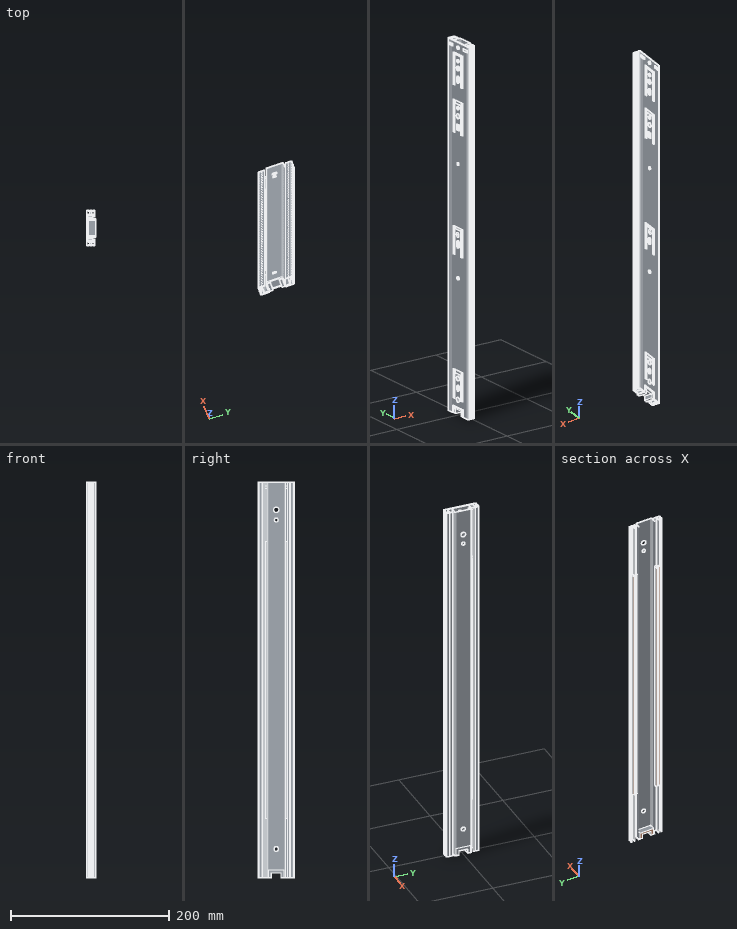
import cadquery as cq
import math

LENGTH = 500.0
DEPTH = 12.5
HEIGHT = 45.5
SHEET = 1.0
Z_TOP = LENGTH / 2
Z_BOTTOM = -LENGTH / 2
CLEARANCE = 0.25

OUTER_DEPTH = 11.0
OUTER_LIP_OPENING = 28.0
OUTER_BEND = 1.75
CREST_SPAN = 3.0
WAVE_DEPTH = 1.0
OUTER_BACK = -DEPTH / 2
OUTER_FRONT = OUTER_BACK + OUTER_DEPTH
OUTER_WEB_INSIDE = OUTER_BACK + SHEET
OUTER_FLANGE_INSIDE = HEIGHT / 2 - SHEET
OUTER_MIDDLE_X = OUTER_BACK + OUTER_DEPTH / 2

MIDDLE_HEIGHT = 36.0
MIDDLE_BEND = 1.75
MIDDLE_BACK = OUTER_WEB_INSIDE + CLEARANCE
MIDDLE_FRONT = OUTER_FRONT - SHEET - CLEARANCE
MIDDLE_WEB_INSIDE = MIDDLE_BACK + SHEET
MIDDLE_FLANGE_INSIDE = MIDDLE_HEIGHT / 2 - SHEET

INNER_HEIGHT = 24.0
INNER_BEND = 1.75
INNER_FRONT = DEPTH / 2
INNER_WEB_INSIDE = INNER_FRONT - SHEET
INNER_BACK = -2.0
INNER_FLANGE_INSIDE = INNER_HEIGHT / 2 - SHEET

CAGE_LENGTH = 350.0
OUTER_CAGE_WIDTH = 3.0
INNER_CAGE_SHEET = 0.5
INNER_CAGE_FRONT = 2.0
INNER_CAGE_GAP = 1.5

ROUND_HOLES = [
    (243.0, 4.5),
    (225.0, 4.5),
    (215.0, 6.5),
    (162.0, 4.5),
    (151.0, 6.5),
    (87.0, 4.0),
    (-66.5, 4.5),
    (-201.0, 6.5),
    (-229.5, 6.5),
]
SLOTS = [
    (200.0, 9.5, 4.5),
    (-21.0, 10.0, 4.5),
    (-214.0, 8.0, 4.5),
]
COUNTERSINK_Z = -8.0
COUNTERSINK_DIAMETER = 6.5
COUNTERSINK_HOLE = 3.0
COUNTERSINK_ANGLE = 120
SQUARE_HOLE_Z = 136.0
SQUARE_HOLE_LENGTH = 8.0
SQUARE_HOLE_WIDTH = 4.5
LANCES = [
    (234.5, 191.0, 2.0),
    (171.0, 127.5, 4.0),
    (1.5, -36.5, 3.0),
    (-190.5, -229.5, 4.5),
]
LANCE_WIDTH = 20.0
LANCE_SLIT = 1.5
LANCE_RIM = 2.0
LANCE_RIM_DEPTH = 0.5

THROUGH_HOLES = [(215.0, 6.5), (202.0, 4.5), (-213.5, 5.5)]

CORNER_Z = 243.5
CORNER_HEIGHT = 3.0
CORNER_INNER_Y = 11.5
CORNER_OUTER_Y = 20.0

NOTCH_WIDTH = 2 * INNER_FLANGE_INSIDE
NOTCH_DEPTH = 10.0
BUMPER_CLEARANCE = 1.0
BUMPER_GAP_WIDTH = 12.0
BUMPER_GAP_DEPTH = 6.0
BUMPER_LEAD_IN_WIDTH = 15.0
BUMPER_LEAD_IN_DEPTH = 1.5
BUMPER_LEAD_IN_HEIGHT = 3.0


def box(x0, x1, y0, y1, z0, z1):
    """A block given by its limits along each axis."""
    return cq.Workplane("XY").box(x1 - x0, y1 - y0, z1 - z0, centered=False).translate((x0, y0, z0))


def channel(web_x, lip_x, height, bend):
    """A full-length C-channel: web at web_x with rounded bends, flanges ending at lip_x."""
    toward_lip = 1 if lip_x > web_x else -1
    body = box(min(web_x, lip_x), max(web_x, lip_x), -height / 2, height / 2, Z_BOTTOM, Z_TOP)
    web_face = "<X" if toward_lip > 0 else ">X"
    body = body.faces(web_face).edges("|Z").fillet(bend)
    cavity_x = sorted((web_x + toward_lip * SHEET, lip_x))
    cavity = box(*cavity_x, SHEET - height / 2, height / 2 - SHEET, Z_BOTTOM, Z_TOP)
    cavity = cavity.faces(web_face).edges("|Z").fillet(bend - SHEET)
    return body.cut(cavity)


def web_hole(z, diameter):
    """A round cutter along X, long enough to pass through every web."""
    return cq.Workplane("YZ").center(0, z).circle(diameter / 2).extrude(DEPTH, both=True)


def web_slot(z, length, width):
    """A round-ended cutter along X, its length along Z."""
    return cq.Workplane("YZ").center(0, z).slot2D(length, width, 90).extrude(DEPTH, both=True)


def lance_cutter(top, bottom, window_height):
    """Two slits along a tab, a window above it and a lowered rim strip beside each slit."""
    half = LANCE_WIDTH / 2
    web_x = (OUTER_BACK, OUTER_WEB_INSIDE)
    rim_x = (OUTER_BACK, OUTER_BACK + LANCE_RIM_DEPTH)
    slit_y = half - LANCE_SLIT
    tab_y = slit_y - LANCE_RIM
    cutter = box(*web_x, -tab_y, tab_y, top - window_height, top)
    cutter = cutter.union(box(*rim_x, -slit_y, slit_y, bottom, top))
    cutter = cutter.cut(box(*web_x, -tab_y, tab_y, bottom, top - window_height))
    for side in (-1, 1):
        cutter = cutter.union(box(*web_x, *sorted((side * slit_y, side * half)), bottom, top))
    return cutter


def outer_outline():
    """The closed outline around the outer rail, with waved sides at its +Y and -Y ends."""
    crest_y = HEIGHT / 2
    dip_y = crest_y - WAVE_DEPTH
    turn_y = crest_y - WAVE_DEPTH / 2
    crest_x = CREST_SPAN / 2
    outer_x = OUTER_DEPTH / 2
    bend_x = outer_x - OUTER_BEND
    corner_y = crest_y - OUTER_BEND
    turn_x = bend_x - math.sqrt(OUTER_BEND**2 - (turn_y - corner_y) ** 2)
    dip_x = (crest_x + turn_x) / 2
    outline = cq.Workplane("XY").moveTo(-outer_x, -corner_y)
    for side in (1, -1):
        outline = (
            outline.lineTo(-side * outer_x, side * corner_y)
            .threePointArc((-side * bend_x, side * crest_y), (-side * turn_x, side * turn_y))
            .threePointArc((-side * dip_x, side * dip_y), (-side * crest_x, side * turn_y))
            .threePointArc((0, side * crest_y), (side * crest_x, side * turn_y))
            .threePointArc((side * dip_x, side * dip_y), (side * turn_x, side * turn_y))
            .threePointArc((side * bend_x, side * crest_y), (side * outer_x, side * corner_y))
        )
    return outline.close()


def make_outer_rail():
    """The cabinet-side rail: a waved tube, slit open at its front and pierced through its web."""
    tube = outer_outline().extrude(LENGTH)
    bore = outer_outline().offset2D(-SHEET).extrude(LENGTH)
    rail = tube.cut(bore).translate((OUTER_MIDDLE_X, 0, Z_BOTTOM))
    opening = OUTER_LIP_OPENING / 2
    rail = rail.cut(box(OUTER_MIDDLE_X, OUTER_FRONT, -opening, opening, Z_BOTTOM, Z_TOP))
    for side in (-1, 1):
        window_y = sorted((side * CORNER_INNER_Y, side * CORNER_OUTER_Y))
        window_z = (CORNER_Z - CORNER_HEIGHT / 2, CORNER_Z + CORNER_HEIGHT / 2)
        rail = rail.cut(box(OUTER_BACK, OUTER_WEB_INSIDE, *window_y, *window_z))
    for top, bottom, window_height in LANCES:
        rail = rail.cut(lance_cutter(top, bottom, window_height))
    for z, diameter in ROUND_HOLES:
        rail = rail.cut(web_hole(z, diameter))
    for z, length, width in SLOTS:
        rail = rail.cut(web_slot(z, length, width))
    square_half = SQUARE_HOLE_WIDTH / 2
    square_z = (SQUARE_HOLE_Z - SQUARE_HOLE_LENGTH / 2, SQUARE_HOLE_Z + SQUARE_HOLE_LENGTH / 2)
    rail = rail.cut(box(OUTER_BACK, OUTER_WEB_INSIDE, -square_half, square_half, *square_z))
    rail = (
        rail.faces("<X")
        .workplane(origin=(OUTER_BACK, 0, COUNTERSINK_Z))
        .cskHole(COUNTERSINK_HOLE, COUNTERSINK_DIAMETER, COUNTERSINK_ANGLE, SHEET * 2)
    )
    half = NOTCH_WIDTH / 2
    return rail.cut(box(OUTER_BACK, OUTER_WEB_INSIDE, -half, half, Z_BOTTOM, Z_BOTTOM + NOTCH_DEPTH))


def make_middle_rail():
    """The rail that slides inside the outer one."""
    rail = channel(MIDDLE_BACK, MIDDLE_FRONT, MIDDLE_HEIGHT, MIDDLE_BEND)
    for z, diameter in THROUGH_HOLES:
        rail = rail.cut(web_hole(z, diameter))
    half = NOTCH_WIDTH / 2
    return rail.cut(box(MIDDLE_BACK, MIDDLE_WEB_INSIDE, -half, half, Z_BOTTOM, Z_BOTTOM + NOTCH_DEPTH))


def make_inner_rail():
    """The drawer-side rail, facing the middle one."""
    rail = channel(INNER_FRONT, INNER_BACK, INNER_HEIGHT, INNER_BEND)
    for z, diameter in THROUGH_HOLES:
        rail = rail.cut(web_hole(z, diameter))
    half = BUMPER_GAP_WIDTH / 2
    return rail.cut(box(INNER_WEB_INSIDE, INNER_FRONT, -half, half, Z_BOTTOM, Z_BOTTOM + BUMPER_GAP_DEPTH))


def make_outer_cage(side):
    """A ball strip between a flange of the outer rail and one of the middle rail."""
    y = sorted((side * MIDDLE_HEIGHT / 2, side * (OUTER_FLANGE_INSIDE - WAVE_DEPTH)))
    x = (OUTER_MIDDLE_X - OUTER_CAGE_WIDTH / 2, OUTER_MIDDLE_X + OUTER_CAGE_WIDTH / 2)
    return box(*x, *y, -CAGE_LENGTH / 2, CAGE_LENGTH / 2)


def make_inner_cage():
    """A thin web with a ball strip along each side, lying in the middle rail."""
    z = (-CAGE_LENGTH / 2, CAGE_LENGTH / 2)
    strip_outside = MIDDLE_FLANGE_INSIDE - (MIDDLE_BEND - SHEET)
    strip_inside = INNER_HEIGHT / 2 + INNER_CAGE_GAP
    web_front = MIDDLE_WEB_INSIDE + INNER_CAGE_SHEET
    cage = box(MIDDLE_WEB_INSIDE, web_front, -strip_outside, strip_outside, *z)
    for side in (-1, 1):
        strip_y = sorted((side * strip_inside, side * strip_outside))
        cage = cage.union(box(MIDDLE_WEB_INSIDE, INNER_CAGE_FRONT, *strip_y, *z))
    return cage


def make_bumper():
    """A stop block across the bottom end, gapped at its middle and sloped above the gap."""
    half = NOTCH_WIDTH / 2 - BUMPER_CLEARANCE
    block = box(OUTER_WEB_INSIDE, INNER_WEB_INSIDE, -half, half, Z_BOTTOM, Z_BOTTOM + NOTCH_DEPTH)
    gap = BUMPER_GAP_WIDTH / 2
    gap_cutter = box(OUTER_WEB_INSIDE, INNER_FRONT, -gap, gap, Z_BOTTOM, Z_BOTTOM + BUMPER_GAP_DEPTH)
    lead_in = (
        cq.Workplane("XZ")
        .moveTo(OUTER_WEB_INSIDE, Z_BOTTOM + BUMPER_GAP_DEPTH)
        .lineTo(OUTER_WEB_INSIDE + BUMPER_LEAD_IN_DEPTH, Z_BOTTOM + BUMPER_GAP_DEPTH)
        .lineTo(OUTER_WEB_INSIDE, Z_BOTTOM + BUMPER_GAP_DEPTH + BUMPER_LEAD_IN_HEIGHT)
        .close()
        .extrude(BUMPER_LEAD_IN_WIDTH / 2, both=True)
    )
    return block.cut(gap_cutter).cut(lead_in)


outer_rail = make_outer_rail()
middle_rail = make_middle_rail()
inner_rail = make_inner_rail()
outer_cages = [make_outer_cage(side) for side in (-1, 1)]
inner_cage = make_inner_cage()
bumper = make_bumper()

result = cq.Compound.makeCompound(
    [outer_rail.val(), middle_rail.val(), inner_rail.val()]
    + [cage.val() for cage in outer_cages]
    + [inner_cage.val(), bumper.val()]
)